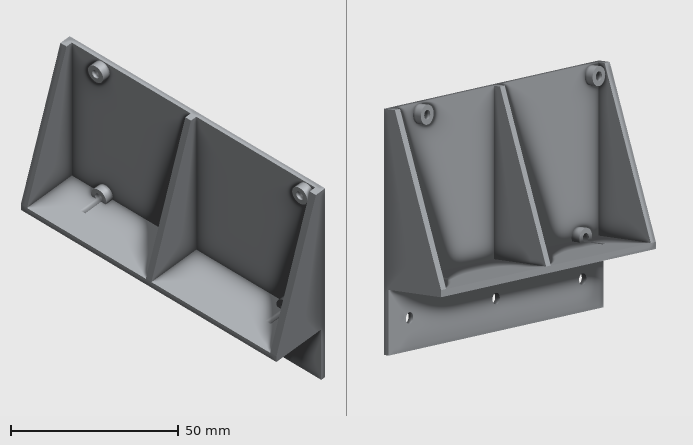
import cadquery as cq

width = 103.2
depth = 21.8
height = 74.9

plate_thickness = 1.8
shelf_bottom = 20.0
shelf_thickness = 2.2
shelf_top = shelf_bottom + shelf_thickness
rib_top_depth = 4.1
side_rib_thickness = 2.5
middle_rib_thickness = 2.3

mount_hole_diameter = 3.5
mount_hole_inset = 10.0
mount_hole_height = 10.0

boss_diameter = 6.1
boss_end_depth = 4.7
screw_hole_diameter = 2.9
screw_hole_depth = 11.9
upper_boss_height = 71.5
lower_boss_height = 23.2
boss_positions = [
    (14.8, upper_boss_height),
    (97.2, upper_boss_height),
    (16.0, lower_boss_height),
    (90.9, lower_boss_height),
]


def full_width_plate(size_y, z_start, size_z):
    """Plate across the whole width whose back face lies on Y = 0."""
    corner = (0, -size_y, z_start)
    return cq.Workplane("XY").box(width, size_y, size_z, centered=False).translate(corner)


def rib(x_start, thickness):
    """Upright rib with a sloping front edge running from the shelf to the top."""
    profile = [
        (0, shelf_bottom),
        (-depth, shelf_bottom),
        (-depth, shelf_top),
        (-rib_top_depth, height),
        (0, height),
    ]
    return cq.Workplane("YZ", origin=(x_start, 0, 0)).polyline(profile).close().extrude(thickness)


def cylinders(positions, diameter, length):
    """Cylinders from the back face toward -Y, at (X, Z) positions."""
    return cq.Workplane("XZ").pushPoints(positions).circle(diameter / 2).extrude(length)


result = full_width_plate(plate_thickness, 0, height)
result = result.union(full_width_plate(depth, shelf_bottom, shelf_thickness))
result = result.union(rib(0, side_rib_thickness))
result = result.union(rib((width - middle_rib_thickness) / 2, middle_rib_thickness))
result = result.union(rib(width - side_rib_thickness, side_rib_thickness))

result = result.union(cylinders(boss_positions, boss_diameter, boss_end_depth))

result = result.cut(cylinders(boss_positions, screw_hole_diameter, screw_hole_depth))

mount_hole_xs = [mount_hole_inset, width / 2, width - mount_hole_inset]
mount_positions = [(x, mount_hole_height) for x in mount_hole_xs]
result = result.cut(cylinders(mount_positions, mount_hole_diameter, plate_thickness))